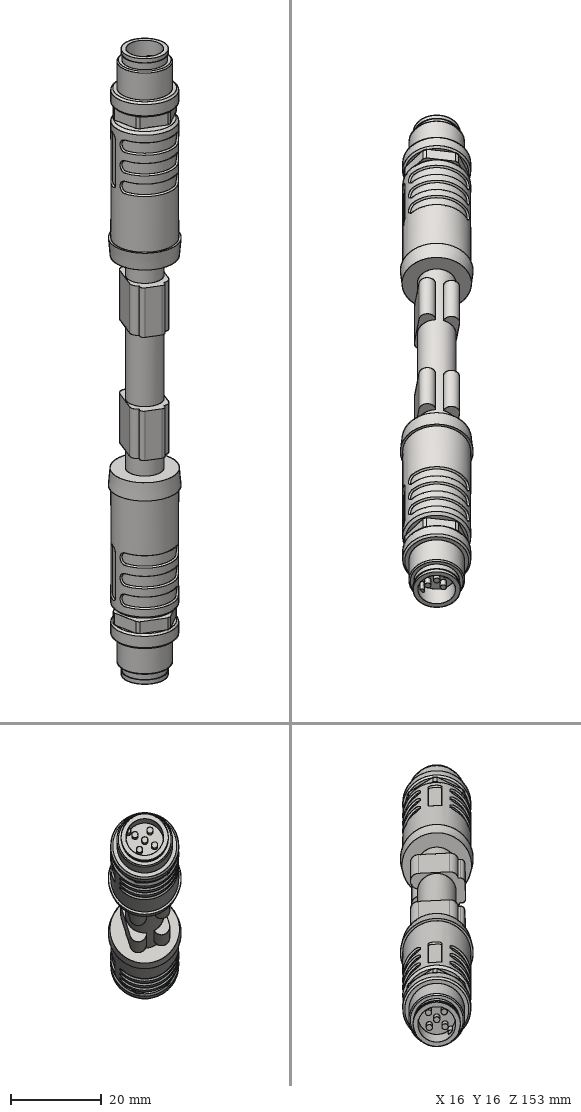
import cadquery as cq
import math

LENGTH = 153.0
END_Z = LENGTH / 2
TWIST = -17.8

LIP_R = 5.2
LIP_DEPTH = 1.0
TIP_R = 5.0
BARREL_R = 6.1
BARREL_TOP = 2.8
BARREL_CHAMFER = 0.3
COLLAR_R = 7.5
COLLAR_TOP = 9.6
COLLAR_BOTTOM = 13.3
COLLAR_CHAMFER = 0.5
NUT_R = 7.2
NUT_FLATS = 12.9
NUT_SIDES = 6
NUT_BOTTOM = 16.2
NECK_R = 4.7

BORE_R = 4.1
BORE_DEPTH = 4.9
PIN_R = 0.69
PIN_CIRCLE_R = 2.5
PIN_TOP = 3.0
PIN_COUNT = 4
KEY_R = 0.6
KEY_TOP = 2.3
PIN_START_ANGLE = 45

BODY_TOP = 17.0
BODY_BOTTOM = 50.5
BODY_R = 7.5
BODY_CHAMFER = 0.6
RIDGE_DIAMETER = 16.0
RIDGE_DEPTH = 46.2
BODY_END_R = 7.6

GRIP_TOP = 19.5
GRIP_BOTTOM = 32.6
RECESS_DEPTH = 0.5
RECESS_DRAFT = 30.0
PANEL_WIDTH = 3.4
PANEL_CORNER_R = 0.8
GROOVE_COUNT = 3
GROOVE_WIDTH = 3.0
GROOVE_END_ANGLE = 25.0

CABLE_R = 4.3
CLIP_TOP = 21.1
CLIP_HEIGHT = 12.1
CLIP_WIDTH = 9.0
LOBE_R = 1.8
LOBE_X = -3.8
CLIP_BACK = 4.9
TAB_END = 6.3
TAB_HALF_WIDTH = 2.9
TAB_CORNER_R = 0.9

CUT_MARGIN = 0.8
CUT_HEIGHT = RECESS_DEPTH + CUT_MARGIN
FLOOR_R = BODY_R - RECESS_DEPTH


def cylinder(radius, top_depth, bottom_depth):
    """Cylinder on the Z axis between two depths below the free end."""
    height = bottom_depth - top_depth
    return cq.Workplane("XY").workplane(offset=END_Z - bottom_depth).circle(radius).extrude(height)


def make_plug():
    plug = cylinder(LIP_R, 0, LIP_DEPTH)
    plug = plug.union(cylinder(TIP_R, LIP_DEPTH, BARREL_TOP))
    barrel = cylinder(BARREL_R, BARREL_TOP, COLLAR_TOP).faces(">Z").chamfer(BARREL_CHAMFER)
    collar = cylinder(COLLAR_R, COLLAR_TOP, COLLAR_BOTTOM).faces("<Z or >Z").chamfer(COLLAR_CHAMFER)
    hexagon = (
        cq.Workplane("XY")
        .workplane(offset=END_Z - NUT_BOTTOM)
        .polygon(NUT_SIDES, NUT_FLATS, circumscribed=True)
        .extrude(NUT_BOTTOM - COLLAR_BOTTOM)
    )
    nut = cylinder(NUT_R, COLLAR_BOTTOM, NUT_BOTTOM).intersect(hexagon)
    neck = cylinder(NECK_R, NUT_BOTTOM, BODY_TOP)
    for section in (barrel, collar, nut, neck):
        plug = plug.union(section)
    return plug


def make_socket(plug):
    """Bore the plug, leaving the pins and the coding key standing on its floor."""
    bore = cylinder(BORE_R, 0, BORE_DEPTH)
    pins = cylinder(PIN_R, PIN_TOP, BORE_DEPTH)
    for index in range(PIN_COUNT):
        angle = PIN_START_ANGLE + index * 360 / PIN_COUNT
        outer_pin = cylinder(PIN_R, PIN_TOP, BORE_DEPTH).translate((PIN_CIRCLE_R, 0, 0))
        pins = pins.union(outer_pin.rotate((0, 0, 0), (0, 0, 1), angle))
    key = cylinder(KEY_R, KEY_TOP, BORE_DEPTH).translate((BORE_R, 0, 0))
    key = key.rotate((0, 0, 0), (0, 0, 1), PIN_START_ANGLE)
    return plug.cut(bore.cut(pins).cut(key))


def make_body():
    """Grip body, turned about Z, with a ridge that tapers towards the cable."""
    top = END_Z - BODY_TOP
    ridge_z = END_Z - RIDGE_DEPTH
    bottom = END_Z - BODY_BOTTOM
    return (
        cq.Workplane("XZ")
        .moveTo(0, top)
        .lineTo(BODY_R - BODY_CHAMFER, top)
        .lineTo(BODY_R, top - BODY_CHAMFER)
        .lineTo(BODY_R, ridge_z)
        .lineTo(RIDGE_DIAMETER / 2, ridge_z)
        .lineTo(BODY_END_R, bottom)
        .lineTo(0, bottom)
        .close()
        .revolve(360, (0, 0, 0), (0, 1, 0))
    )


def half_width_at(radius, surface_half_width):
    """Half width of a drafted recess at a distance from the Z axis."""
    return surface_half_width - (BODY_R - radius) * math.tan(math.radians(RECESS_DRAFT))


def panel_cutter():
    """Flat rounded rectangle with drafted walls, sunk into the -Y side of the body."""
    floor_half_width = half_width_at(FLOOR_R, PANEL_WIDTH / 2)
    floor_half_length = half_width_at(FLOOR_R, (GRIP_BOTTOM - GRIP_TOP) / 2)
    outline = (
        cq.Sketch()
        .rect(2 * floor_half_width, 2 * floor_half_length)
        .vertices()
        .fillet(PANEL_CORNER_R)
    )
    return (
        cq.Workplane("XZ")
        .workplane(offset=FLOOR_R)
        .center(0, END_Z - (GRIP_TOP + GRIP_BOTTOM) / 2)
        .placeSketch(outline)
        .extrude(CUT_HEIGHT, taper=-RECESS_DRAFT)
    )


def groove_cutter(depth):
    """Round-ended groove wrapped around the +X side, centred at the given depth."""
    centre_z = END_Z - depth
    surface_half = GROOVE_WIDTH / 2
    outer_r = FLOOR_R + CUT_HEIGHT
    start_r = FLOOR_R - CUT_MARGIN
    floor_half = half_width_at(FLOOR_R, surface_half)
    outer_half = half_width_at(outer_r, surface_half)
    half_sweep = 90 - GROOVE_END_ANGLE - math.degrees(surface_half / BODY_R)
    cutter = (
        cq.Workplane("XZ")
        .polyline([
            (FLOOR_R, centre_z - floor_half),
            (outer_r, centre_z - outer_half),
            (outer_r, centre_z + outer_half),
            (FLOOR_R, centre_z + floor_half),
        ])
        .close()
        .revolve(2 * half_sweep, (0, 0, 0), (0, 1, 0))
        .rotate((0, 0, 0), (0, 0, 1), -half_sweep)
    )
    core = cylinder(FLOOR_R, depth - surface_half, depth + surface_half)
    round_end = (
        cq.Workplane("YZ")
        .workplane(offset=start_r)
        .center(0, centre_z)
        .circle(half_width_at(start_r, surface_half))
        .extrude(outer_r - start_r, taper=-RECESS_DRAFT)
        .cut(core)
    )
    for angle in (-half_sweep, half_sweep):
        cutter = cutter.union(round_end.rotate((0, 0, 0), (0, 0, 1), angle))
    return cutter


def cut_grip(body):
    pitch = (GRIP_BOTTOM - GRIP_TOP - GROOVE_WIDTH) / (GROOVE_COUNT - 1)
    cutter = panel_cutter()
    for index in range(GROOVE_COUNT):
        cutter = cutter.union(groove_cutter(GRIP_TOP + GROOVE_WIDTH / 2 + index * pitch))
    opposite = cutter.rotate((0, 0, 0), (0, 0, 1), 180)
    return body.cut(cutter).cut(opposite)


def make_clip():
    """C-shaped clip: two round lobes facing -X, a rounded back and a tab at +X."""
    base = cq.Workplane("XY").workplane(offset=CLIP_TOP - CLIP_HEIGHT)
    lobe_y = CLIP_WIDTH / 2 - LOBE_R
    shell = (
        base.center((LOBE_X + CLIP_BACK) / 2, 0)
        .rect(CLIP_BACK - LOBE_X, CLIP_WIDTH)
        .extrude(CLIP_HEIGHT)
        .edges("|Z and >X")
        .fillet(LOBE_R)
    )
    lobes = base.pushPoints([(LOBE_X, -lobe_y), (LOBE_X, lobe_y)]).circle(LOBE_R).extrude(CLIP_HEIGHT)
    tab = (
        base.center(TAB_END / 2, 0)
        .rect(TAB_END, 2 * TAB_HALF_WIDTH)
        .extrude(CLIP_HEIGHT)
        .edges("|Z and >X")
        .fillet(TAB_CORNER_R)
    )
    return shell.union(lobes).union(tab)


cable = cylinder(CABLE_R, BODY_BOTTOM, END_Z)
upper_half = make_socket(make_plug())
for piece in (cut_grip(make_body()), cable, make_clip()):
    upper_half = upper_half.union(piece)
upper_half = upper_half.rotate((0, 0, 0), (0, 0, 1), TWIST)

result = upper_half.union(upper_half.mirror("XY"))